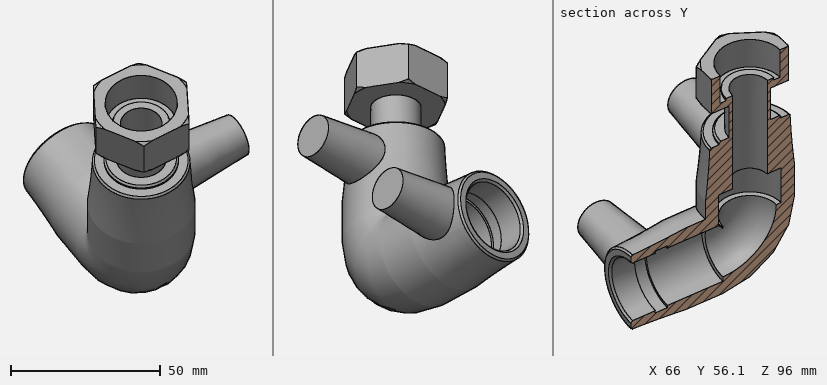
import cadquery as cq
import math

LENGTH_X = 66.0
DEPTH_Y = 56.1
HEIGHT_Z = 96.0

BODY_D = 36.0
BEND_R = 10.9
STRAIGHT_END = 25.9
LEG_LENGTH = LENGTH_X - BODY_D / 2
MOUTH_D = 32.6
MOUTH_CHAMFER = 0.7
TAPER_SAG = 0.2
SOCKET_D = 25.0
BEND_BORE_D = 21.1
ENTRY_D = 26.6
ENTRY_CHAMFER = 0.8
GROOVE_D = 26.9
GROOVE_DEPTH = 10.0
GROOVE_WIDTH = 4.8

LUG_END = DEPTH_Y - BODY_D / 2
LUG_POSITION = 36.3
LUG_TIP_D = 15.0
LUG_TAPER = 5.0

TOP = HEIGHT_Z - BODY_D / 2
NUT_HEIGHT = 15.2
NUT_FLATS = 31.2
NUT_CHAMFER_D = 33.2
NUT_CHAMFER_ANGLE = 30.0
NUT_BORE_D = 24.1
NUT_FLOOR = 3.2
NECK_D = 16.9
NECK_BORE_D = 14.0
FLANGE_D = 19.3
FLANGE_HEIGHT = 1.0
COLLAR_RISE = 1.2
COLLAR_CHAMFER = 0.7


def cylinder(diameter, start, end):
    return cq.Workplane("XY").workplane(offset=start).circle(diameter / 2).extrude(end - start)


def to_horizontal(leg):
    """Turn a shape on the +Z axis onto the -X axis."""
    return leg.rotate((0, 0, 0), (0, 1, 0), -90)


def outer_leg():
    """Solid leg on the +Z axis, tapering to its mouth along a hollow arc."""
    body_r = BODY_D / 2
    mouth_r = MOUTH_D / 2
    taper_end = LEG_LENGTH - MOUTH_CHAMFER
    taper_middle = ((body_r + mouth_r) / 2 - TAPER_SAG, (STRAIGHT_END + taper_end) / 2)
    profile = (
        cq.Workplane("XZ")
        .moveTo(0, BEND_R)
        .lineTo(body_r, BEND_R)
        .lineTo(body_r, STRAIGHT_END)
        .threePointArc(taper_middle, (mouth_r, taper_end))
        .lineTo(mouth_r - MOUTH_CHAMFER, LEG_LENGTH)
        .lineTo(0, LEG_LENGTH)
        .close()
    )
    return profile.revolve(360, (0, 0, 0), (0, 1, 0))


def bend(diameter):
    """Quarter bend; the part of the section beyond the bend axis is left out."""
    radius = diameter / 2
    reach = min(radius, BEND_R)
    half_width = math.sqrt(radius**2 - reach**2)
    section = cq.Workplane("YZ", origin=(-BEND_R, 0, 0))
    if half_width > 0:
        section = section.moveTo(-half_width, reach).threePointArc((0, -radius), (half_width, reach)).close()
    else:
        section = section.circle(radius)
    return section.revolve(90, (0, BEND_R, 0), (-1, BEND_R, 0))


def lug():
    """Tapered lug on the +Y axis, reaching back to the leg axis."""
    root_r = LUG_TIP_D / 2 + LUG_END * math.tan(math.radians(LUG_TAPER))
    return (
        cq.Workplane("XY")
        .polyline([(0, 0), (root_r, 0), (LUG_TIP_D / 2, LUG_END), (0, LUG_END)])
        .close()
        .revolve(360, (0, 0, 0), (0, 1, 0))
    )


def socket():
    """Open socket of the horizontal leg, with a bevelled entry and a ring groove."""
    entry_r = ENTRY_D / 2
    socket_r = SOCKET_D / 2
    profile = (
        cq.Workplane("XZ")
        .polyline([
            (0, BEND_R),
            (socket_r, BEND_R),
            (socket_r, LEG_LENGTH - ENTRY_CHAMFER),
            (entry_r, LEG_LENGTH),
            (0, LEG_LENGTH),
        ])
        .close()
    )
    bore = profile.revolve(360, (0, 0, 0), (0, 1, 0))
    groove_top = LEG_LENGTH - GROOVE_DEPTH
    groove = cylinder(GROOVE_D, groove_top - GROOVE_WIDTH, groove_top)
    return to_horizontal(bore.union(groove))


def nut():
    """Hexagon with corners on Y, bevelled at both ends, around the tailpiece."""
    bottom = TOP - NUT_HEIGHT
    corner_d = NUT_FLATS / math.cos(math.pi / 6)
    hexagon = (
        cq.Workplane("XY")
        .workplane(offset=bottom)
        .polygon(6, corner_d)
        .extrude(NUT_HEIGHT)
        .rotate((0, 0, 0), (0, 0, 1), 90)
    )
    bevel_width = (corner_d - NUT_CHAMFER_D) / 2
    bevel_height = bevel_width * math.tan(math.radians(NUT_CHAMFER_ANGLE))
    envelope = cylinder(corner_d, bottom, TOP).faces("<Z or >Z").chamfer(bevel_height, bevel_width)
    return hexagon.intersect(envelope).cut(cylinder(NUT_BORE_D, bottom + NUT_FLOOR, TOP))


def tailpiece():
    """Solid insert filling the vertical leg, with collar, neck and flange."""
    collar_top = LEG_LENGTH + COLLAR_RISE
    nut_floor = TOP - NUT_HEIGHT + NUT_FLOOR
    collar = cylinder(SOCKET_D, STRAIGHT_END, collar_top).faces(">Z").chamfer(COLLAR_CHAMFER)
    neck = cylinder(NECK_D, collar_top, nut_floor)
    flange = cylinder(FLANGE_D, nut_floor, nut_floor + FLANGE_HEIGHT)
    return collar.union(neck).union(flange)


elbow = bend(BODY_D).union(outer_leg()).union(to_horizontal(outer_leg()))
elbow = elbow.union(lug().translate((-LUG_POSITION, 0, 0)))
elbow = elbow.union(lug().translate((0, 0, LUG_POSITION)))
elbow = elbow.cut(bend(BEND_BORE_D)).cut(socket()).cut(cylinder(SOCKET_D, BEND_R, LEG_LENGTH))

result = elbow.union(tailpiece()).union(nut()).cut(cylinder(NECK_BORE_D, STRAIGHT_END, TOP))